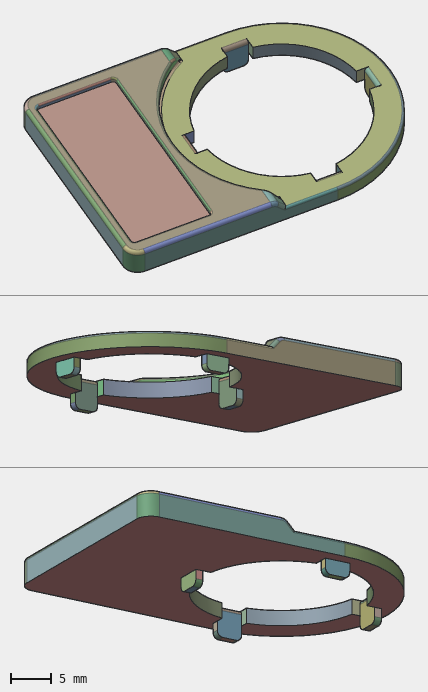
import cadquery as cq
import math

tolerance = 0.005

length = 43.5
width = 30.0
outer_radius = width / 2
front_y = outer_radius - length
corner_radius = 2.0

ring_height = 2.0
block_height = 3.5
ring_edge_radius = 0.3
block_edge_radius = 0.5

step_foot_y = -6.95
step_angle = math.radians(45)
step_round_radius = 1.5
recess_radius = outer_radius
recess_edge_radius = 0.3
recess_floor_radius = 0.3

hole_radius = 11.25
tab_width = 3.5
tab_inner_radius = 12.25
tab_thickness = 1.0
tab_drop = 2.0
tab_tip_radius = 0.8
tab_lead_in_radius = 0.52
tab_count = 4
notch_radius = tab_inner_radius + tab_lead_in_radius

label_width = 26.0
label_length = 10.88
label_center_y = -21.7
label_depth = 0.6
label_corner_radius = 0.5
label_edge_radius = 0.2


def ring_plate():
    """Low plate over the full outline, rounded along its top edge."""
    plate = (
        cq.Workplane("XY")
        .moveTo(-outer_radius, front_y)
        .lineTo(outer_radius, front_y)
        .lineTo(outer_radius, 0)
        .threePointArc((0, outer_radius), (-outer_radius, 0))
        .close()
        .extrude(ring_height)
    )
    plate = plate.edges("|Z and <Y").fillet(corner_radius)
    return plate.faces(">Z").edges().fillet(ring_edge_radius)


def raised_block():
    """Tall front part with a sloped and rounded rear end."""
    slope_run = 1 / math.tan(step_angle)
    slope_top_y = step_foot_y - (block_height - ring_height) * slope_run
    slope_bottom_y = step_foot_y + ring_height * slope_run
    block = (
        cq.Workplane("YZ")
        .polyline([
            (front_y, 0),
            (slope_bottom_y, 0),
            (slope_top_y, block_height),
            (front_y, block_height),
        ])
        .close()
        .extrude(outer_radius, both=True)
    )
    block = block.faces(">Z").edges(">Y").fillet(step_round_radius)
    block = block.edges("|Z and <Y").fillet(corner_radius)
    return block.faces("<Y").edges(">Z").fillet(block_edge_radius)


def is_recess_rim(edge):
    """True for the upper edges of the recess wall, all at the recess radius."""
    middle = edge.positionAt(0.5)
    off_wall = abs(math.hypot(middle.x, middle.y) - recess_radius)
    return off_wall < tolerance and middle.z > tolerance


def cut_recess(block):
    """Carve the ring's round clearance out of the block and round its rim."""
    recess = cq.Workplane("XY").circle(recess_radius).extrude(block_height)
    return block.cut(recess).edges().filter(is_recess_rim).fillet(recess_edge_radius)


def recess_floor_fillet(block):
    """Concave round where the wall of the circular recess meets the ring."""
    fillet_ring = (
        cq.Workplane("XZ")
        .moveTo(recess_radius - recess_floor_radius, ring_height)
        .radiusArc((recess_radius, ring_height + recess_floor_radius), -recess_floor_radius)
        .lineTo(recess_radius, ring_height)
        .close()
        .revolve(360, (0, 0), (0, 1))
    )
    return fillet_ring.intersect(block)


def cut_label_pocket(plate):
    """Sink the shallow label pocket into the block and round its rim."""
    pocket = (
        cq.Workplane("XY", origin=(0, label_center_y, block_height - label_depth))
        .rect(label_width, label_length)
        .extrude(label_depth)
        .edges("|Z")
        .fillet(label_corner_radius)
    )
    plate = plate.cut(pocket)
    rim = plate.faces(">Z").val().innerWires()[0]
    return plate.newObject(rim.Edges()).fillet(label_edge_radius)


def ring_opening():
    """Round opening with a crossed pair of notch slots, as a cutting tool."""
    opening = cq.Workplane("XY").circle(hole_radius).extrude(ring_height)
    slot = cq.Workplane("XY").rect(2 * notch_radius, tab_width).extrude(ring_height)
    return opening.union(slot).union(slot.rotate((0, 0, 0), (0, 0, 1), 90))


def tab():
    """One tab on the +X side, hanging below the plate."""
    return (
        cq.Workplane("XY", origin=(tab_inner_radius, 0, -tab_drop))
        .rect(tab_thickness, tab_width)
        .extrude(tab_drop + ring_height)
        .translate((tab_thickness / 2, 0, 0))
        .faces("<Z")
        .edges("|X")
        .fillet(tab_tip_radius)
        .faces(">Z")
        .edges("<X")
        .fillet(tab_lead_in_radius)
    )


block = raised_block()
result = ring_plate().union(cut_recess(block)).union(recess_floor_fillet(block))
result = cut_label_pocket(result)
result = result.cut(ring_opening())
for index in range(tab_count):
    result = result.union(tab().rotate((0, 0, 0), (0, 0, 1), index * 360 / tab_count))